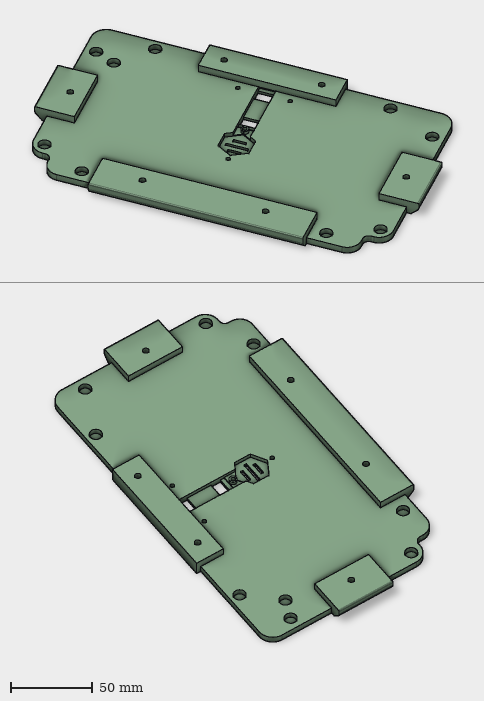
import cadquery as cq
import math

total_height = 10.0
plate_thickness = 4.8

plate_half_width = 118.0
plate_back_y = 69.3
plate_front_y = -66.0
back_corner_radius = 10.0
front_corner_radius = 9.3
notch_half_width = 102.8
notch_y = -50.7
notch_fillet = 4.0

pocket_diameter = 8.0
pocket_depth = 4.0
mirrored_pockets = [(77.0, 62.5), (110.0, 47.5), (110.0, -42.8), (80.1, -57.7)]
extra_pocket = (-96.5, 41.8)

side_reach = 126.0
side_depth = 26.2
side_width = 40.3
side_center_y = 2.0
front_reach = 72.5
front_depth = 25.0
front_width = 140.5
back_reach = 72.3
back_depth = 20.0
back_width = 90.2
side_bevel = 5.3
side_bevel_fillet = 4.0
front_bevel = 4.3
front_bevel_fillet = 3.0
top_fillet = 0.8

screw_hole_diameter = 4.0
screw_holes = [(110.0, side_center_y), (40.3, -57.7), (32.0, 62.5)]

channel_width = 11.3
channel_back_y = 54.5
channel_floor = 2.0
windows = [(44.0, 51.7), (19.2, 26.2)]

ledge_back_y = 16.5
ledge_floor = 2.5
boss_y = 13.5
boss_diameter = 5.0

hexagon_y = -0.5
hexagon_across_corners = 23.5
hexagon_floor = 1.8
vent_height = 1.8
vent_pitch = 4.8
short_vent = 8.5
long_vent = 14.5

pin_hole_diameter = 2.8
pin_holes = [(-17.1, 47.0), (17.1, 47.0), (0, -15.5), (0, boss_y)]


def mirrored(points):
    """The points together with their mirror images about X = 0."""
    return points + [(-x, y) for x, y in points]


def cylinders(points, diameter, bottom, top):
    """Upright cylinders of one diameter at the given places."""
    base = cq.Workplane("XY").workplane(offset=bottom)
    return base.pushPoints(points).circle(diameter / 2).extrude(top - bottom)


def centered_block(width, y_range, bottom, top):
    """Box centred on X = 0 and spanning y_range."""
    front, back = y_range
    base = cq.Workplane("XY", origin=(0, (front + back) / 2, bottom))
    return base.rect(width, back - front).extrude(top - bottom)


def make_plate():
    back_corner = (plate_half_width, plate_back_y)
    side_corner = (plate_half_width, notch_y)
    inner_corner = (notch_half_width, notch_y)
    front_corner = (notch_half_width, plate_front_y)
    right_side = [back_corner, side_corner, inner_corner, front_corner]
    left_side = [(-x, y) for x, y in reversed(right_side)]
    plate = cq.Workplane("XY").polyline(right_side + left_side).close().extrude(plate_thickness)
    corner_radii = [
        (inner_corner, notch_fillet),
        (back_corner, back_corner_radius),
        (side_corner, front_corner_radius),
        (front_corner, front_corner_radius),
    ]
    for corner, radius in corner_radii:
        for x, y in mirrored([corner]):
            nearest = cq.selectors.NearestToPointSelector((x, y, plate_thickness / 2))
            plate = plate.edges(nearest).fillet(radius)
    return plate


def make_clamp_bar(reach, depth, width, bevel, bevel_fillet):
    """Bar along X with its outer face at Y = -reach, bevelled below and rounded above."""
    inner_y = depth - reach
    profile = [
        (inner_y, 0),
        (bevel - reach, 0),
        (-reach, bevel),
        (-reach, total_height),
        (inner_y, total_height),
    ]
    bar = cq.Workplane("YZ").polyline(profile).close().extrude(width / 2, both=True)
    for edge_z, radius in [(bevel, bevel_fillet), (total_height, top_fillet)]:
        bar = bar.edges(cq.selectors.NearestToPointSelector((0, -reach, edge_z))).fillet(radius)
    return bar


def add_clamp_bars(body):
    side_bar = make_clamp_bar(side_reach, side_depth, side_width, side_bevel, side_bevel_fillet)
    left_bar = side_bar.rotate((0, 0, 0), (0, 0, 1), -90).translate((0, side_center_y, 0))
    right_bar = left_bar.mirror("YZ")
    front_bar = make_clamp_bar(front_reach, front_depth, front_width, front_bevel, front_bevel_fillet)
    back_bar = centered_block(back_width, (back_reach - back_depth, back_reach), 0, total_height)
    for bar in (left_bar, right_bar, front_bar, back_bar):
        body = body.union(bar)
    return body


def cut_channel(body):
    channel_range = (ledge_back_y, channel_back_y)
    body = body.cut(centered_block(channel_width, channel_range, channel_floor, plate_thickness))
    for window in windows:
        body = body.cut(centered_block(channel_width, window, 0, channel_floor))
    ledge_range = (hexagon_y, ledge_back_y)
    body = body.cut(centered_block(channel_width, ledge_range, ledge_floor, plate_thickness))
    return body.union(cylinders([(0, boss_y)], boss_diameter, 0, plate_thickness))


def cut_hexagon_pocket(body):
    center_to_corner = hexagon_across_corners / 2
    corner_angles = [math.radians(30 + 60 * i) for i in range(6)]
    corners = [
        (center_to_corner * math.cos(angle), center_to_corner * math.sin(angle))
        for angle in corner_angles
    ]
    base = cq.Workplane("XY", origin=(0, hexagon_y, hexagon_floor))
    body = body.cut(base.polyline(corners).close().extrude(plate_thickness - hexagon_floor))
    for row, length in [(-1, short_vent), (0, long_vent), (1, short_vent)]:
        vent_y = hexagon_y + row * vent_pitch
        vent_range = (vent_y - vent_height / 2, vent_y + vent_height / 2)
        body = body.cut(centered_block(length, vent_range, 0, hexagon_floor))
    return body


result = add_clamp_bars(make_plate())
result = cut_channel(result)
result = cut_hexagon_pocket(result)

pockets = mirrored(mirrored_pockets) + [extra_pocket]
pocket_floor = plate_thickness - pocket_depth
result = result.cut(cylinders(pockets, pocket_diameter, pocket_floor, plate_thickness))
result = result.cut(cylinders(mirrored(screw_holes), screw_hole_diameter, 0, total_height))
result = result.cut(cylinders(pin_holes, pin_hole_diameter, 0, plate_thickness))